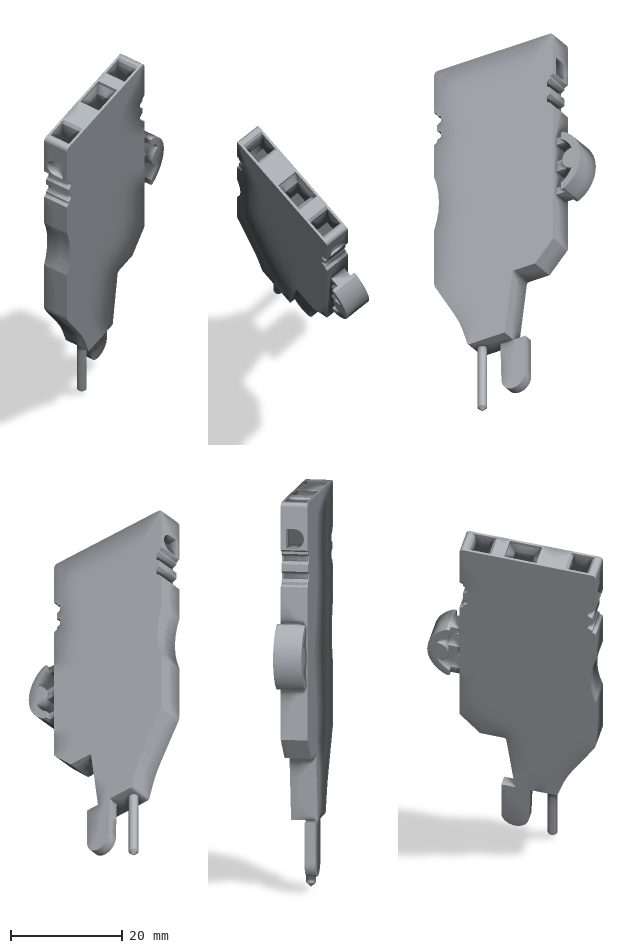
import cadquery as cq


BODY_DEPTH = 25.45
BODY_HEIGHT = 59.8
BODY_THICKNESS = 4.9
HOUSING_THICKNESS = 3.95
MID_DEPTH = BODY_DEPTH / 2
TOP_CORNER_RADIUS = 0.7

BACK_CORNER_Z = 16.45
SHOULDER_Z = 12.4
SHOULDER_Y = 21.6
FOOT_TOP_Y = 16.75
FOOT_BACK_Y = 15.05
FOOT_FRONT_Y = 7.2
FOOT_BEND = (6.4, 2.35)
RAMP_BEND = (4.4, 7.2)
CURVE_MIDDLE = (5.55, 4.8)
FRONT_CORNER_Z = 14.8
FRONT_CORNER_RADIUS = 2.2
SMALL_RADIUS = 0.5

HOLLOW_Z = 32.0
HOLLOW_HALF_HEIGHT = 5.55
HOLLOW_DEPTH = 1.0

NOTCH_Z = 47.8
RECESS_DEPTH = 0.65
RECESS_HALF_HEIGHT = 3.35
RECESS_FLOOR_HALF_HEIGHT = 3.0
GROOVE_DEPTH = 1.45
GROOVE_OFFSET = 1.6
GROOVE_MOUTH_HALF_HEIGHT = 0.95
GROOVE_FLOOR_HALF_HEIGHT = 0.5
SINK_DEPTH = 0.6
SINK_MOUTH_MARGIN = 0.2
SINK_FLOOR_MARGIN = 0.45

WALL = 0.45
POCKET_NEAR_Y = 1.3
POCKET_FAR_Y = 5.85
POCKET_CHAMFER = 0.5
LEAD_IN_BEVEL = 0.45
LEAD_IN_REACH = 0.65
LEAD_IN_DEPTH = 1.4

FUNNEL_FRONT_Y = 11.2
FUNNEL_BACK_Y = 17.2
FUNNEL_RIM = 0.6
FUNNEL_DEPTH = 2.05
SHAFT_FRONT_Y = 12.4
SHAFT_BACK_Y = 16.1
SHAFT_LEFT_X = 0.95

WINDOW_X = 2.5
WINDOW_Z = 53.2
WINDOW_RADIUS = 1.8
POCKET_FLOOR_Z = WINDOW_Z - WINDOW_RADIUS

TONGUE_THICKNESS = 2.0
TONGUE_Y = 15.05
TONGUE_RADIUS = 2.55
TONGUE_LENGTH = 10.15
TONGUE_TOP_FRONT_Y = 12.3

PIN_X = 2.4
PIN_Y = 8.7
PIN_DIAMETER = 1.75
OVERALL_HEIGHT = 73.1
PIN_LENGTH = OVERALL_HEIGHT - BODY_HEIGHT
PIN_TIP = 0.9

CLIP_WIDTH = 5.2
CLIP_REACH_Y = 31.4
CLIP_RADIUS = 6.7
CLIP_RIM = 1.45
CLIP_END_Y = 27.3
CLIP_HALF_HEIGHT = 5.9
HUB_Y = 29.6
HUB_RADIUS = 2.05
LEG_LEFT_X = 0.9
SIDE_LEG_HEIGHT = 1.4
MIDDLE_LEG_HEIGHT = 2.1


def side_sketch(x):
    """Workplane parallel to YZ at the given X; local coordinates are (Y, Z)."""
    return cq.Workplane("YZ").workplane(offset=x)


def box(x_range, y_range, z_range):
    """Box between two limits along each axis."""
    size = [high - low for low, high in (x_range, y_range, z_range)]
    corner = (x_range[0], y_range[0], z_range[0])
    return cq.Workplane("XY").box(*size, centered=False).translate(corner)


def both_edges(shape):
    """The shape at the front edge together with its mirror image at the back edge."""
    return shape.union(shape.mirror("XZ", (0, MID_DEPTH, 0)))


def plate(x_start, x_end):
    """Plate with the outline of the main body."""
    slab = (
        side_sketch(x_start)
        .moveTo(0, BODY_HEIGHT)
        .lineTo(0, HOLLOW_Z + HOLLOW_HALF_HEIGHT)
        .threePointArc((HOLLOW_DEPTH, HOLLOW_Z), (0, HOLLOW_Z - HOLLOW_HALF_HEIGHT))
        .lineTo(0, FRONT_CORNER_Z)
        .lineTo(*RAMP_BEND)
        .threePointArc(CURVE_MIDDLE, FOOT_BEND)
        .lineTo(FOOT_FRONT_Y, 0)
        .lineTo(FOOT_BACK_Y, 0)
        .lineTo(FOOT_TOP_Y, SHOULDER_Z)
        .lineTo(SHOULDER_Y, SHOULDER_Z)
        .lineTo(BODY_DEPTH, BACK_CORNER_Z)
        .lineTo(BODY_DEPTH, BODY_HEIGHT)
        .close()
        .extrude(x_end - x_start)
    )
    rounded_corners = (
        (0, BODY_HEIGHT, TOP_CORNER_RADIUS),
        (BODY_DEPTH, BODY_HEIGHT, TOP_CORNER_RADIUS),
        (0, FRONT_CORNER_Z, FRONT_CORNER_RADIUS),
        (FOOT_FRONT_Y, 0, SMALL_RADIUS),
        (FOOT_TOP_Y, SHOULDER_Z, SMALL_RADIUS),
    )
    for y, z, radius in rounded_corners:
        corner = cq.selectors.NearestToPointSelector(((x_start + x_end) / 2, y, z))
        slab = slab.edges("|X").edges(corner).fillet(radius)
    return slab


def edge_groove(z, start_depth, end_depth, mouth_half, floor_half):
    """Trapezoidal groove along X between two depths from the front edge."""
    return (
        side_sketch(0)
        .polyline([
            (start_depth, z - mouth_half),
            (end_depth, z - floor_half),
            (end_depth, z + floor_half),
            (start_depth, z + mouth_half),
        ])
        .close()
        .extrude(BODY_THICKNESS)
    )


def groove_sink(z):
    """Sunken middle of a groove floor, with sloped ends."""
    floor_depth = GROOVE_DEPTH + SINK_DEPTH
    return (
        cq.Workplane("XY", origin=(0, 0, z - GROOVE_FLOOR_HALF_HEIGHT))
        .polyline([
            (SINK_MOUTH_MARGIN, GROOVE_DEPTH),
            (SINK_FLOOR_MARGIN, floor_depth),
            (BODY_THICKNESS - SINK_FLOOR_MARGIN, floor_depth),
            (BODY_THICKNESS - SINK_MOUTH_MARGIN, GROOVE_DEPTH),
        ])
        .close()
        .extrude(2 * GROOVE_FLOOR_HALF_HEIGHT)
    )


def grip_notches():
    """Recess and two grooves in the front edge and in the back edge."""
    notch = edge_groove(NOTCH_Z, 0, RECESS_DEPTH, RECESS_HALF_HEIGHT, RECESS_FLOOR_HALF_HEIGHT)
    for side in (-1, 1):
        groove_z = NOTCH_Z + side * GROOVE_OFFSET
        groove = edge_groove(
            groove_z, RECESS_DEPTH, GROOVE_DEPTH, GROOVE_MOUTH_HALF_HEIGHT, GROOVE_FLOOR_HALF_HEIGHT
        )
        notch = notch.union(groove).union(groove_sink(groove_z))
    return both_edges(notch)


def end_pockets():
    """Pocket behind each edge, with a lead-in on its outer wall and a chamfer opposite."""
    pocket = (
        side_sketch(WALL)
        .polyline([
            (POCKET_NEAR_Y, BODY_HEIGHT),
            (POCKET_NEAR_Y + LEAD_IN_BEVEL, BODY_HEIGHT - LEAD_IN_BEVEL),
            (POCKET_NEAR_Y + LEAD_IN_REACH, BODY_HEIGHT - LEAD_IN_DEPTH),
            (POCKET_NEAR_Y + LEAD_IN_REACH, POCKET_FLOOR_Z),
            (POCKET_FAR_Y - POCKET_CHAMFER, POCKET_FLOOR_Z),
            (POCKET_FAR_Y - POCKET_CHAMFER, BODY_HEIGHT - POCKET_CHAMFER),
            (POCKET_FAR_Y, BODY_HEIGHT),
        ])
        .close()
        .extrude(BODY_THICKNESS - 2 * WALL)
    )
    return both_edges(pocket)


def rectangle_wire(x_range, y_range, z):
    """Closed rectangular wire at height z."""
    corners = [(x, y, z) for x, y in zip(
        (x_range[0], x_range[1], x_range[1], x_range[0]),
        (y_range[0], y_range[0], y_range[1], y_range[1]),
    )]
    return cq.Wire.makePolygon([cq.Vector(*corner) for corner in corners], close=True)


def funnel_socket():
    """Middle socket: a straight rim, four slopes, then a straight shaft."""
    mouth_x = (WALL, BODY_THICKNESS - WALL)
    mouth_y = (FUNNEL_FRONT_Y, FUNNEL_BACK_Y)
    shaft_x = (SHAFT_LEFT_X, HOUSING_THICKNESS)
    shaft_y = (SHAFT_FRONT_Y, SHAFT_BACK_Y)
    slope_top = BODY_HEIGHT - FUNNEL_RIM
    slope_bottom = BODY_HEIGHT - FUNNEL_DEPTH
    slopes = cq.Solid.makeLoft(
        [rectangle_wire(mouth_x, mouth_y, slope_top), rectangle_wire(shaft_x, shaft_y, slope_bottom)],
        True,
    )
    rim = box(mouth_x, mouth_y, (slope_top, BODY_HEIGHT))
    shaft = box(shaft_x, shaft_y, (POCKET_FLOOR_Z, slope_bottom))
    return rim.union(cq.Workplane(slopes)).union(shaft)


def edge_windows():
    """U-shaped openings from both edges into the end pockets, open toward the cover."""
    wall_depth = POCKET_NEAR_Y + LEAD_IN_REACH
    round_side = (
        cq.Workplane("XZ")
        .center(WINDOW_X, WINDOW_Z)
        .circle(WINDOW_RADIUS)
        .extrude(-wall_depth)
    )
    open_side = box(
        (WINDOW_X, HOUSING_THICKNESS),
        (0, wall_depth),
        (WINDOW_Z - WINDOW_RADIUS, WINDOW_Z + WINDOW_RADIUS),
    )
    return both_edges(round_side.union(open_side))


def tongue():
    """Round-ended tongue that hangs below the housing."""
    arc_z = TONGUE_RADIUS - TONGUE_LENGTH
    return (
        side_sketch(0)
        .moveTo(TONGUE_Y + TONGUE_RADIUS, 0)
        .lineTo(TONGUE_Y + TONGUE_RADIUS, arc_z)
        .threePointArc((TONGUE_Y, -TONGUE_LENGTH), (TONGUE_Y - TONGUE_RADIUS, arc_z))
        .lineTo(TONGUE_TOP_FRONT_Y, 0)
        .close()
        .extrude(TONGUE_THICKNESS)
    )


def make_housing():
    """Housing: the thick plate with its pockets, windows and tongue."""
    body = plate(0, HOUSING_THICKNESS)
    for cutter in (grip_notches(), end_pockets(), funnel_socket(), edge_windows()):
        body = body.cut(cutter)
    return body.union(tongue())


def make_cover():
    """Cover: the thin plate that closes the pockets of the housing."""
    body = plate(HOUSING_THICKNESS, BODY_THICKNESS)
    for cutter in (grip_notches(), end_pockets(), funnel_socket()):
        body = body.cut(cutter)
    return body


def make_pin():
    """Round contact pin with a pointed tip, standing against the underside of the housing."""
    radius = PIN_DIAMETER / 2
    return (
        cq.Workplane("XZ", origin=(PIN_X, PIN_Y, 0))
        .polyline([(0, 0), (radius, 0), (radius, PIN_TIP - PIN_LENGTH), (0, -PIN_LENGTH)])
        .close()
        .revolve(360, (0, 0, 0), (0, 1, 0))
    )


def make_clip():
    """Clip: a wide bow with a round hub, on three narrow legs against the back edge."""
    bow_y = CLIP_REACH_Y - CLIP_RADIUS

    def disc(y, radius):
        return side_sketch(0).center(y, HOLLOW_Z).circle(radius).extrude(CLIP_WIDTH)

    envelope = box(
        (0, CLIP_WIDTH),
        (CLIP_END_Y, CLIP_REACH_Y),
        (HOLLOW_Z - CLIP_HALF_HEIGHT, HOLLOW_Z + CLIP_HALF_HEIGHT),
    )
    outer = disc(bow_y, CLIP_RADIUS)
    clip = outer.cut(disc(bow_y, CLIP_RADIUS - CLIP_RIM)).union(disc(HUB_Y, HUB_RADIUS))
    clip = clip.intersect(outer).intersect(envelope)

    side_leg_offset = CLIP_HALF_HEIGHT - SIDE_LEG_HEIGHT / 2
    legs = (
        (-side_leg_offset, SIDE_LEG_HEIGHT, CLIP_END_Y),
        (0, MIDDLE_LEG_HEIGHT, HUB_Y),
        (side_leg_offset, SIDE_LEG_HEIGHT, CLIP_END_Y),
    )
    for offset, height, end_y in legs:
        middle_z = HOLLOW_Z + offset
        leg = box(
            (LEG_LEFT_X, HOUSING_THICKNESS),
            (BODY_DEPTH, end_y),
            (middle_z - height / 2, middle_z + height / 2),
        )
        clip = clip.union(leg)
    return clip


housing = make_housing()
cover = make_cover()
pin = make_pin()
clip = make_clip()

result = cq.Compound.makeCompound([body.solids().val() for body in (housing, cover, pin, clip)])